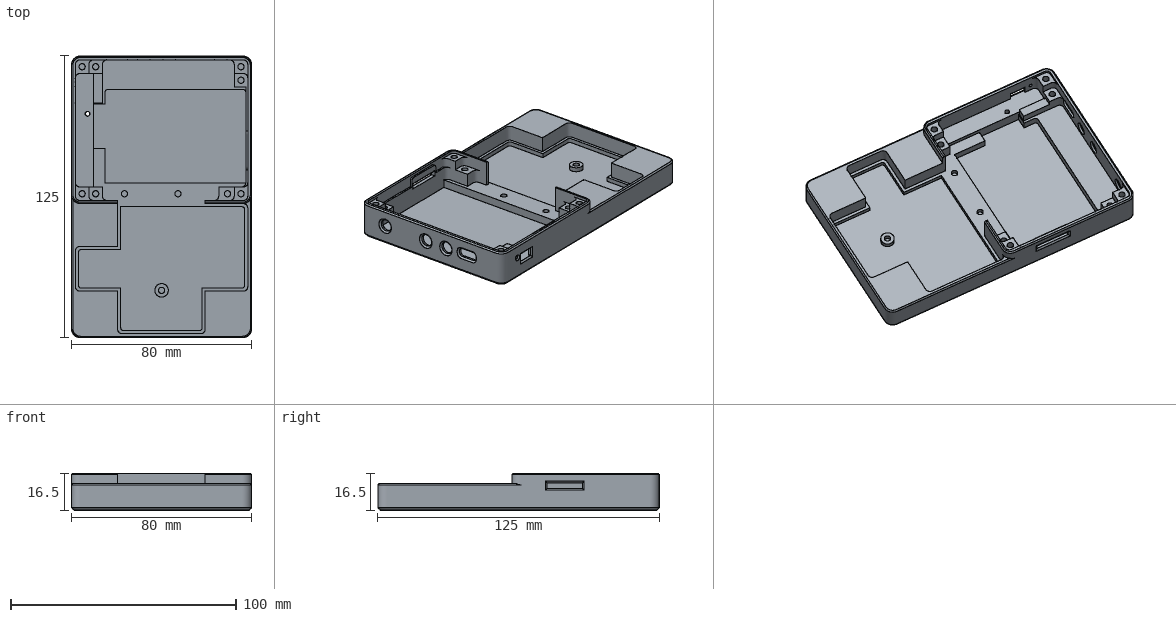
import cadquery as cq
length = 125.0
width = 80.0
box_height = 16.5
tray_height = 12.0
box_front = 59.5
outer_radius = 4.0
bottom_chamfer = 1.2
rim_chamfer = 0.6

wall = 1.8
inner_radius = 2.0
inner_left = wall
inner_right = width - wall
inner_front = wall
inner_back = length - wall
front_wall = 1.4
box_inner_front = box_front + front_wall

floor_z = 5.0
tray_pocket_z = 3.0
battery_z = 1.2
rib_z = 8.8
low_post_z = 11.0
high_post_z = 15.2

opening_left = 20.5
opening_right = 59.4
arm_front = 20.6
left_arm_back = 40.5
pocket_ledge = 1.4
pocket_radius = 1.2

post_size = 6.0
wide_post_size = 6.9
screw_inset = post_size / 2
screw_hole = 2.8
screw_depth = 5.0
floor_hole_depth = 2.0
floor_hole_left = 23.5
floor_hole_right = 47.2
boss_x = width / 2
boss_y = 21.0
boss_diameter = 6.0

battery_left = 14.9
battery_front = 68.6
battery_back = 110.1
notch_front = 84.0
notch_back = 103.8
shelf_right = 9.8
rib_front = 104.1
lip_width = 0.9
reset_hole = 2.0
reset_x = 7.1
reset_y = 99.4

flare = 0.8

switch_y = 107.8
switch_z = 8.9
switch_length = 7.2
switch_height = 3.8
board_shelf_z = switch_z - switch_height / 2
light_y = 114.2
light_z = 10.2
light_outer = 2.8
light_inner = 1.5

jack_hole = 5.5
jack_z = 9.0
jack_xs = (32.0, 43.4, 66.2)
plug_x = 20.2
plug_z = 9.5
plug_width = 9.2
plug_height = 4.0
plug_radius = 1.5

card_front = 74.4
card_back = 91.6
card_plate_radius = 1.5
card_z = 9.8
card_slit_length = 15.8
card_slit_height = 2.5


def block(x0, x1, y0, y1, z0, z1):
    """Box between two corners."""
    return cq.Workplane("XY").box(x1 - x0, y1 - y0, z1 - z0, centered=False).translate((x0, y0, z0))


def rounded_block(x0, x1, y0, y1, z0, z1, radius):
    """Box with rounded vertical edges."""
    return block(x0, x1, y0, y1, z0, z1).edges("|Z").fillet(radius)


def drill(x, y, top, depth, diameter):
    """Vertical cylinder reaching down from a surface."""
    return cq.Workplane("XY", origin=(x, y, top)).circle(diameter / 2).extrude(-depth)


def outer_shell():
    tray = rounded_block(0, width, 0, length, 0, tray_height, outer_radius)
    tray = tray.faces("<Z").chamfer(bottom_chamfer)
    tray = tray.faces(">Z").chamfer(rim_chamfer)
    box = rounded_block(0, width, box_front, length, bottom_chamfer, box_height, outer_radius)
    box = box.faces(">Z").chamfer(rim_chamfer)
    return tray.union(box)


def plus_pocket(inset, bottom, radius):
    """Plus-shaped hollow of the tray, shrunk by an inset; its outer corners are rounded."""
    left = inner_left + inset
    right = inner_right - inset
    front = inner_front + inset
    arm_y = arm_front + inset
    stem_left = opening_left + inset
    stem_right = opening_right - inset
    back = box_front - inset
    stem = block(stem_left, stem_right, front, back, bottom, box_height)
    stem = stem.edges("|Z and <Y").fillet(radius)
    right_arm = block(stem_left, right, arm_y, back, bottom, box_height)
    right_arm = right_arm.edges("|Z").fillet(radius)
    left_arm = block(left, stem_right, arm_y, left_arm_back - inset, bottom, box_height)
    left_arm = left_arm.edges("|Z and <X").fillet(radius)
    return stem.union(right_arm).union(left_arm)


def box_hollow():
    """Hollow of the box in three layers: above all posts, above the low posts, and below."""
    left = inner_left
    right = inner_right
    front = box_inner_front
    back = inner_back
    post_left = left + post_size
    post_right = right - post_size
    second_left = post_left + post_size
    second_right = post_right - wide_post_size
    post_front = front + post_size
    post_back = back - post_size
    second_back = post_back - post_size
    lip = right - lip_width

    hollow = rounded_block(left, right, front, back, high_post_z, box_height, inner_radius)
    for x0, x1, y0, y1 in ((left, right, post_front, post_back), (post_left, post_right, front, back)):
        hollow = hollow.union(rounded_block(x0, x1, y0, y1, low_post_z, box_height, inner_radius))

    low = rounded_block(left, lip, post_front, post_back, floor_z, low_post_z, inner_radius)
    low = low.cut(block(post_right, lip, second_back, post_back, floor_z, low_post_z))
    low = low.cut(block(shelf_right, second_left, rib_front, post_back, floor_z, rib_z))
    low = low.cut(block(left, shelf_right, post_front, post_back, floor_z, board_shelf_z))
    for x1, y0, y1 in ((post_right, post_front, back), (second_right, front, back)):
        low = low.union(rounded_block(second_left, x1, y0, y1, floor_z, low_post_z, inner_radius))
    return hollow.union(low)


def battery_recess():
    """Recess in the box floor with a notch reaching to the board shelf."""
    lip = inner_right - lip_width
    recess = block(battery_left, lip, battery_front, battery_back, battery_z, floor_z)
    recess = recess.edges("|Z and >Y").fillet(pocket_radius)
    return recess.union(block(shelf_right, battery_left, notch_front, notch_back, battery_z, floor_z))


def screw_holes():
    near_left = inner_left + screw_inset
    near_right = inner_right - screw_inset
    near_front = box_inner_front + screw_inset
    near_back = inner_back - screw_inset
    holes = drill(boss_x, boss_y, floor_z, floor_hole_depth, screw_hole)
    for x in (floor_hole_left, floor_hole_right):
        holes = holes.union(drill(x, near_front, floor_z, floor_hole_depth, screw_hole))
    for x in (near_left, near_right):
        for y in (near_front, near_back):
            holes = holes.union(drill(x, y, high_post_z, screw_depth, screw_hole))
    low_holes = [
        (near_left + post_size, near_front),
        (near_left + post_size, near_back),
        (near_right - post_size, near_front),
        (near_right, near_back - post_size),
    ]
    for x, y in low_holes:
        holes = holes.union(drill(x, y, low_post_z, screw_depth, screw_hole))
    return holes.union(drill(reset_x, reset_y, board_shelf_z, board_shelf_z, reset_hole))


def flared(plane, hole, mouth, growth, depth):
    """Hole from an outer face inwards, with a mouth that narrows to the hole at 45 degrees."""
    straight = cq.Workplane(plane).placeSketch(hole).extrude(depth)
    taper = cq.Workplane(plane).placeSketch(mouth).extrude(growth, taper=45)
    return straight.union(taper)


def flared_circle(plane, diameter, growth):
    hole = cq.Sketch().circle(diameter / 2)
    mouth = cq.Sketch().circle(diameter / 2 + growth)
    return flared(plane, hole, mouth, growth, wall)


def flared_rectangle(plane, size_x, size_y, radius, depth):
    hole = cq.Sketch().rect(size_x, size_y)
    mouth = cq.Sketch().rect(size_x + 2 * flare, size_y + 2 * flare)
    if radius > 0:
        hole = hole.vertices().fillet(radius)
        mouth = mouth.vertices().fillet(radius + flare)
    return flared(plane, hole, mouth, flare, depth)


def left_wall_openings():
    switch_plane = cq.Plane((0, switch_y, switch_z), xDir=(0, 1, 0), normal=(1, 0, 0))
    light_plane = cq.Plane((0, light_y, light_z), xDir=(0, 1, 0), normal=(1, 0, 0))
    switch = flared_rectangle(switch_plane, switch_length, switch_height, 0, wall)
    light = flared_circle(light_plane, light_inner, (light_outer - light_inner) / 2)
    return switch.union(light)


def back_wall_openings():
    plug_plane = cq.Plane((plug_x, length, plug_z), xDir=(1, 0, 0), normal=(0, -1, 0))
    cuts = flared_rectangle(plug_plane, plug_width, plug_height, plug_radius, wall)
    for x in jack_xs:
        jack_plane = cq.Plane((x, length, jack_z), xDir=(1, 0, 0), normal=(0, -1, 0))
        cuts = cuts.union(flared_circle(jack_plane, jack_hole, flare))
    return cuts


def card_plate():
    """Plate on the right wall above the lip, with rounded upper corners."""
    plate = block(inner_right - lip_width, inner_right, card_front, card_back, low_post_z, high_post_z)
    return plate.edges("|X and >Z").fillet(card_plate_radius)


def card_slit():
    """Flared slit through the right wall, the lip and the plate."""
    slit_centre = (width, (card_front + card_back) / 2, card_z + card_slit_height / 2)
    slit_plane = cq.Plane(slit_centre, xDir=(0, 1, 0), normal=(-1, 0, 0))
    return flared_rectangle(slit_plane, card_slit_length, card_slit_height, 0, wall + lip_width)


def front_opening():
    """Passage from the box into the tray through the front wall of the box."""
    back = box_inner_front + wall
    return block(opening_left, opening_right, box_front - inner_radius, back, floor_z, box_height)


boss = drill(boss_x, boss_y, floor_z, floor_z - tray_pocket_z, boss_diameter)

result = outer_shell()
result = result.cut(box_hollow()).cut(battery_recess()).cut(front_opening())
result = result.cut(plus_pocket(0, floor_z, inner_radius))
result = result.cut(plus_pocket(pocket_ledge, tray_pocket_z, pocket_radius))
result = result.union(boss).union(card_plate())
result = result.cut(left_wall_openings()).cut(back_wall_openings()).cut(card_slit())
result = result.cut(screw_holes())